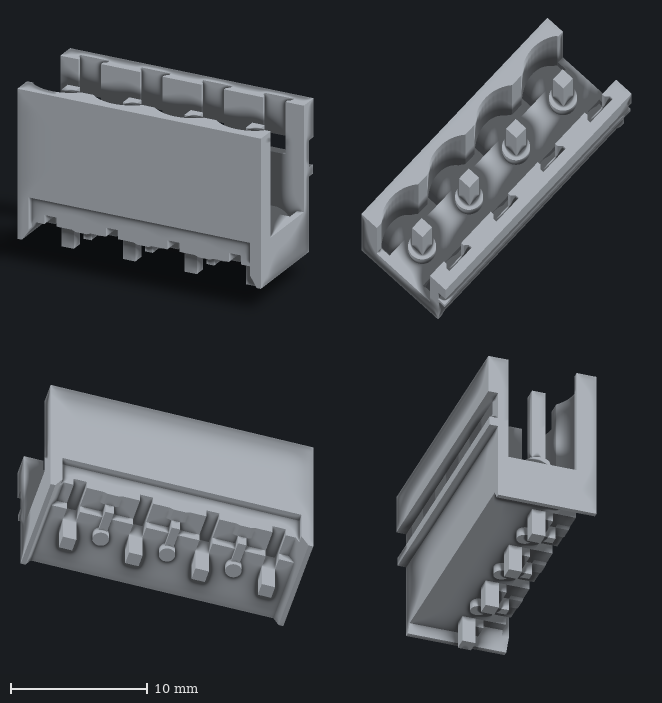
import cadquery as cq

WAYS = 4
PITCH = 5.08

HOUSING_LENGTH = 20.12
HOUSING_DEPTH = 7.67
HOUSING_HEIGHT = 12.01
TROUGH_FRONT_Y = 1.55
TROUGH_BACK_Y = 6.86
FLOOR_Z = 3.5

TOP_RIB_BACK_Y = 8.43
TOP_RIB_BOTTOM_Z = 8.91
LATCH_RIB_BACK_Y = 8.33
LATCH_RIB_BOTTOM_Z = 6.02
LATCH_RIB_HEIGHT = 0.7

PIN_WIDTH = 1.03
PIN_Y = 3.82
PIN_TOP_Z = 11.05
PIN_BOTTOM_Z = -1.49
BOSS_DIAMETER = 2.05
BOSS_HEIGHT = 1.49

FRONT_RECESS_LENGTH = 18.3
FRONT_RECESS_DEPTH = 0.56
LEG_FOOT_WIDTH = 0.36
LEG_TOP_WIDTH = 1.17
FRONT_WALL_BOTTOM_Z = 1.35
BASE_BOTTOM_Z = 0.66
WALL_DIP = 0.12
WALL_DIP_BOTTOM_WIDTH = 0.93
WALL_DIP_TOP_WIDTH = 1.53
NOTCH_WIDTH = 1.0
NOTCH_TOP_Z = 2.07
STUD_DIAMETER = 1.2
STUD_RIB_WIDTH = 0.65
STUD_RIB_BOTTOM_Z = 0.35

SCALLOP_RADIUS = 3.05
POCKET_LENGTH = 19.07
FRONT_POCKET_BACK_Y = 2.33
BACK_POCKET_FRONT_Y = 5.67
HUMP_BASE_WIDTH = 3.3
HUMP_ARC_WIDTH = 2.55
HUMP_SIDE_HEIGHT = 0.6
HUMP_ARC_RISE = 0.68

SLOT_MOUTH_WIDTH = 1.87
SLOT_WIDE_WIDTH = 2.41
SLOT_BOTTOM_Z = 7.83
SLOT_NECK_DEPTH = 0.26
SLOT_FLARE_DEPTH = 0.52

WAY_XS = [(i - (WAYS - 1) / 2) * PITCH for i in range(WAYS)]
MID_XS = [x + PITCH / 2 for x in WAY_XS[:-1]]
POCKET_BOTTOM_Z = FLOOR_Z - HUMP_SIDE_HEIGHT - HUMP_ARC_RISE
BASE_FRONT_Y = FRONT_POCKET_BACK_Y


def block(length, y_range, z_range, x=0.0):
    """Box centred on x that spans the given Y and Z ranges."""
    y0, y1 = y_range
    z0, z1 = z_range
    return cq.Workplane("XY").box(length, y1 - y0, z1 - z0).translate((x, (y0 + y1) / 2, (z0 + z1) / 2))


def along_y(points, y_range):
    """Prism with an X-Z outline that spans the given Y range."""
    y0, y1 = y_range
    return cq.Workplane("XZ", origin=(0, y0, 0)).polyline(points).close().extrude(y0 - y1)


def channel_body():
    """U-shaped extrusion along X, with the two ribs on its back."""
    latch_top = LATCH_RIB_BOTTOM_Z + LATCH_RIB_HEIGHT
    profile = [
        (0, 0),
        (HOUSING_DEPTH, 0),
        (HOUSING_DEPTH, LATCH_RIB_BOTTOM_Z),
        (LATCH_RIB_BACK_Y, LATCH_RIB_BOTTOM_Z),
        (LATCH_RIB_BACK_Y, latch_top),
        (HOUSING_DEPTH, latch_top),
        (HOUSING_DEPTH, TOP_RIB_BOTTOM_Z),
        (TOP_RIB_BACK_Y, TOP_RIB_BOTTOM_Z),
        (TOP_RIB_BACK_Y, HOUSING_HEIGHT),
        (TROUGH_BACK_Y, HOUSING_HEIGHT),
        (TROUGH_BACK_Y, FLOOR_Z),
        (TROUGH_FRONT_Y, FLOOR_Z),
        (TROUGH_FRONT_Y, HOUSING_HEIGHT),
        (0, HOUSING_HEIGHT),
    ]
    return cq.Workplane("YZ").polyline(profile).close().extrude(HOUSING_LENGTH / 2, both=True)


def leg_gap(top_z, y_range):
    """Space between the two tapered end legs, up to top_z."""
    taper = (LEG_TOP_WIDTH - LEG_FOOT_WIDTH) / FRONT_WALL_BOTTOM_Z
    foot_x = HOUSING_LENGTH / 2 - LEG_FOOT_WIDTH
    top_x = foot_x - taper * top_z
    return along_y([(-foot_x, 0), (foot_x, 0), (top_x, top_z), (-top_x, top_z)], y_range)


def wall_dip(x):
    """Shallow pad that lowers the edge of the front wall between two ways."""
    z_top = FRONT_WALL_BOTTOM_Z
    z_low = z_top - WALL_DIP
    half_top = WALL_DIP_TOP_WIDTH / 2
    half_low = WALL_DIP_BOTTOM_WIDTH / 2
    points = [(x - half_top, z_top), (x + half_top, z_top), (x + half_low, z_low), (x - half_low, z_low)]
    return along_y(points, (FRONT_RECESS_DEPTH, TROUGH_FRONT_Y))


def stud(x):
    """Round standoff under the base, with the rib in front of it."""
    post = cq.Workplane("XY").circle(STUD_DIAMETER / 2).extrude(BASE_BOTTOM_Z).translate((x, PIN_Y, 0))
    rib = block(STUD_RIB_WIDTH, (TROUGH_FRONT_Y, PIN_Y), (STUD_RIB_BOTTOM_Z, FRONT_WALL_BOTTOM_Z), x)
    return post.union(rib)


def scallops():
    """Round clearances around the pins, kept within the length of the pockets."""
    clearances = block(POCKET_LENGTH, (0, FRONT_POCKET_BACK_Y), (POCKET_BOTTOM_Z, HOUSING_HEIGHT))
    rounds = cq.Workplane("XY")
    for x in WAY_XS:
        disc = cq.Workplane("XY", origin=(x, PIN_Y, POCKET_BOTTOM_Z)).circle(SCALLOP_RADIUS)
        rounds = rounds.union(disc.extrude(HOUSING_HEIGHT - POCKET_BOTTOM_Z))
    return rounds.intersect(clearances)


def hump(x, y_range):
    """Round-topped ridge on the bottom of a pocket."""
    y0, y1 = y_range
    shoulder_z = POCKET_BOTTOM_Z + HUMP_SIDE_HEIGHT
    return (
        cq.Workplane("XZ", origin=(x, y0, 0))
        .moveTo(-HUMP_BASE_WIDTH / 2, POCKET_BOTTOM_Z)
        .lineTo(-HUMP_ARC_WIDTH / 2, shoulder_z)
        .threePointArc((0, shoulder_z + HUMP_ARC_RISE), (HUMP_ARC_WIDTH / 2, shoulder_z))
        .lineTo(HUMP_BASE_WIDTH / 2, POCKET_BOTTOM_Z)
        .close()
        .extrude(y0 - y1)
    )


def floor_pockets():
    """Clearance in the trough floor in front of and behind the pins, less the humps."""
    z_range = (POCKET_BOTTOM_Z, FLOOR_Z)
    front = block(POCKET_LENGTH, (TROUGH_FRONT_Y, FRONT_POCKET_BACK_Y), z_range)
    back_range = (BACK_POCKET_FRONT_Y, TROUGH_BACK_Y)
    space = front.union(block(POCKET_LENGTH, back_range, z_range)).union(scallops())
    for x in WAY_XS:
        space = space.cut(hump(x, (0, FRONT_POCKET_BACK_Y)))
        space = space.cut(hump(x, back_range))
    return space


def dovetail_slot(x):
    """Undercut slot down the inside of the back wall, as deep as the wall below the top rib."""
    neck = SLOT_MOUTH_WIDTH / 2
    wide = SLOT_WIDE_WIDTH / 2
    neck_y = TROUGH_BACK_Y + SLOT_NECK_DEPTH
    flare_y = TROUGH_BACK_Y + SLOT_FLARE_DEPTH
    outline = [
        (x - neck, TROUGH_BACK_Y),
        (x - neck, neck_y),
        (x - wide, flare_y),
        (x - wide, HOUSING_DEPTH),
        (x + wide, HOUSING_DEPTH),
        (x + wide, flare_y),
        (x + neck, neck_y),
        (x + neck, TROUGH_BACK_Y),
    ]
    slot = cq.Workplane("XY", origin=(0, 0, SLOT_BOTTOM_Z)).polyline(outline).close()
    return slot.extrude(HOUSING_HEIGHT - SLOT_BOTTOM_Z)


def pin(x):
    """Straight square pin."""
    half = PIN_WIDTH / 2
    return block(PIN_WIDTH, (PIN_Y - half, PIN_Y + half), (PIN_BOTTOM_Z, PIN_TOP_Z), x)


def make_housing():
    """Insulating housing with a square hole for every pin."""
    body = channel_body()
    body = body.cut(leg_gap(BASE_BOTTOM_Z, (0, HOUSING_DEPTH)))
    body = body.cut(leg_gap(FRONT_WALL_BOTTOM_Z, (0, BASE_FRONT_Y)))
    body = body.cut(block(FRONT_RECESS_LENGTH, (0, FRONT_RECESS_DEPTH), (0, FLOOR_Z)))
    body = body.cut(floor_pockets())
    for x in MID_XS:
        body = body.union(wall_dip(x)).union(stud(x))
    for x in WAY_XS:
        boss = cq.Workplane("XY", origin=(x, PIN_Y, FLOOR_Z)).circle(BOSS_DIAMETER / 2).extrude(BOSS_HEIGHT)
        body = body.union(boss)
        body = body.cut(block(NOTCH_WIDTH, (0, PIN_Y), (0, NOTCH_TOP_Z), x))
        body = body.cut(dovetail_slot(x))
        body = body.cut(pin(x))
    return body.solids()


housing = make_housing()
pins = [pin(x) for x in WAY_XS]

result = cq.Compound.makeCompound([housing.val(), *[p.val() for p in pins]])